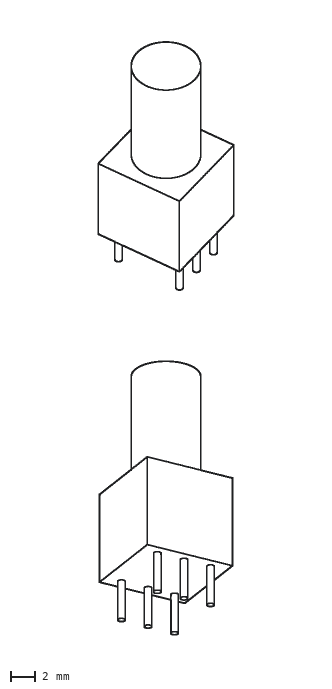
import cadquery as cq

total_height = 21.5
body_side = 8.0
shaft_height = 10.0
shaft_diameter = 5.7
pin_length = total_height - body_side - shaft_height

pin_diameter = 0.62
row_spacing = 6.0
pin_pitch = 2.5
rows = 2
pins_per_row = 3

body = cq.Workplane("XY").box(body_side, body_side, body_side, centered=(True, True, False))

shaft = cq.Workplane("XY").workplane(offset=body_side).circle(shaft_diameter / 2).extrude(shaft_height)

pins = (
    cq.Workplane("XY")
    .rarray(row_spacing, pin_pitch, rows, pins_per_row)
    .circle(pin_diameter / 2)
    .extrude(-pin_length)
)

result = body.union(shaft).union(pins)